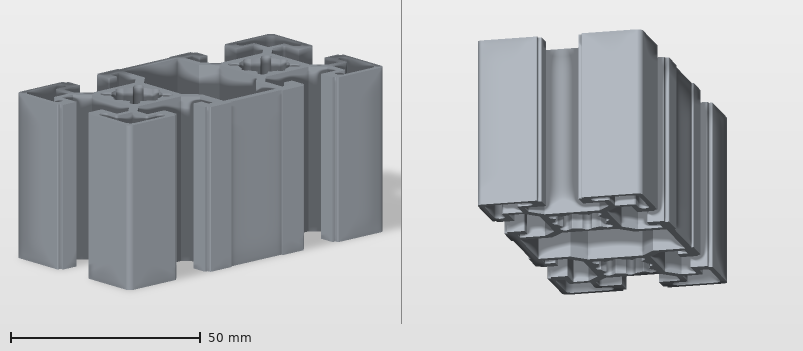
import cadquery as cq
import math

module = 45.0
length = 45.0
outer_radius = 1.4
half_module = module / 2

core_half = 9.2
slot_half = 11.0
slot_mouth_half = 5.0
slot_step_half = 6.0
slot_step_depth = 1.1
lip_depth = 5.8
rib_offset = 1.7
slot_fillet = 0.6
step_fillet = 0.3

hook_back = 8.1
undercut_floor = 19.4
hook_depth = 5.85
hook_fillet = 0.4

corner_wall = 1.4
corner_inner = 12.6
corner_shelf = 18.3
arm_tip = 8.0
corner_fillet = 1.8
shelf_fillet = 0.6

core_hole_radius = 6.8
flute_radius = 1.35
flute_centre = 6.4
diagonal_slot_radius = 1.35
diagonal_slot_centre = 5.85
peak_fillet = 0.3

void_half_width = 20.0
void_half_height = 9.5
recess_half_height = 9.0
recess_depth = 0.5

lip_back = half_module - lip_depth
hook_tip = half_module - hook_depth
step_floor = half_module - slot_step_depth


def prism(points):
    return cq.Workplane("XY").polyline(points).close().extrude(length)


def cylinder(x, y, radius):
    return cq.Workplane("XY").center(x, y).circle(radius).extrude(length)


def round_edge(solid, x, y, radius):
    """Fillet the Z-parallel edge at (x, y)."""
    edge = cq.selectors.NearestToPointSelector((x, y, length / 2))
    return solid.edges("|Z").edges(edge).fillet(radius)


def slot_inside():
    """(across, outward) points of half a slot beside the core."""
    return [(core_half - rib_offset, core_half), (slot_half, slot_half + rib_offset)]


def slot_mouth(lip_level):
    """(across, outward) points of half a slot mouth, with its step."""
    return [
        (slot_mouth_half, lip_level),
        (slot_mouth_half, step_floor),
        (slot_step_half, step_floor),
        (slot_step_half, half_module),
    ]


plain_half = slot_inside() + [(slot_half, lip_back)] + slot_mouth(lip_back)


def end_slot():
    """Slot in the +Y face, plain lips on both sides."""
    left = [(-across, outward) for across, outward in reversed(plain_half)]
    slot = prism(plain_half + left)
    for side in (1, -1):
        slot = round_edge(slot, side * slot_half, lip_back, slot_fillet)
        slot = round_edge(slot, side * slot_step_half, step_floor, step_fillet)
    return slot


def side_slot():
    """Slot in the +X face, plain lip above and hooked lip below."""
    hooked_half = (
        slot_inside()
        + [(slot_half, undercut_floor), (hook_back, undercut_floor), (hook_back, hook_tip)]
        + slot_mouth(hook_tip)
    )
    upper = [(outward, across) for across, outward in plain_half]
    lower = [(outward, -across) for across, outward in reversed(hooked_half)]
    slot = prism(upper + lower)
    for y in (-slot_mouth_half, -hook_back):
        slot = round_edge(slot, hook_tip, y, hook_fillet)
    for y in (-slot_step_half, slot_step_half):
        slot = round_edge(slot, step_floor, y, step_fillet)
    return slot


def corner_hollow():
    """L-shaped hollow of the +X +Y corner."""
    wall = half_module - corner_wall
    tip_radius = (wall - corner_shelf) / 2
    arm_middle = wall - tip_radius
    arc_start = arm_tip + tip_radius
    hollow = (
        cq.Workplane("XY")
        .moveTo(corner_inner, corner_inner)
        .lineTo(corner_shelf, corner_inner)
        .lineTo(corner_shelf, arc_start)
        .threePointArc((arm_middle, arm_tip), (wall, arc_start))
        .lineTo(wall, wall)
        .lineTo(arc_start, wall)
        .threePointArc((arm_tip, arm_middle), (arc_start, corner_shelf))
        .lineTo(corner_inner, corner_shelf)
        .close()
        .extrude(length)
    )
    hollow = round_edge(hollow, wall, wall, corner_fillet)
    hollow = round_edge(hollow, corner_shelf, corner_inner, shelf_fillet)
    return round_edge(hollow, corner_inner, corner_shelf, shelf_fillet)


def core_hole():
    """Round hole with four flutes on the axes and four slots on the diagonals."""
    reach = diagonal_slot_centre * math.sqrt(2)
    hole = cylinder(0, 0, core_hole_radius)
    diagonal_slot = (
        cq.Workplane("XY")
        .slot2D(2 * (reach + diagonal_slot_radius), 2 * diagonal_slot_radius)
        .extrude(length)
    )
    for angle in (45, 135):
        hole = hole.union(diagonal_slot.rotate((0, 0, 0), (0, 0, 1), angle))
    for x, y in ((1, 0), (0, 1), (-1, 0), (0, -1)):
        hole = hole.union(cylinder(x * flute_centre, y * flute_centre, flute_radius))
    peak_turn = math.asin(diagonal_slot_radius / core_hole_radius)
    for quarter in range(4):
        diagonal = math.radians(45 + 90 * quarter)
        for angle in (diagonal - peak_turn, diagonal + peak_turn):
            x = core_hole_radius * math.cos(angle)
            y = core_hole_radius * math.sin(angle)
            hole = round_edge(hole, x, y, peak_fillet)
    return hole


def central_void_half():
    """Part of the central void that lies inside this module."""
    void_edge = -half_module + void_half_height
    right = [
        (void_half_width, -half_module),
        (void_half_width, void_edge),
        (-void_edge - rib_offset, void_edge),
        (core_half - rib_offset, -core_half),
    ]
    left = [(-x, y) for x, y in reversed(right)]
    return prism(right + left)


def side_recess():
    """Half of the shallow recess on the +X face beside the central void."""
    return cq.Workplane("XY").box(
        recess_depth, recess_half_height, length, centered=False
    ).translate((half_module - recess_depth, -half_module, 0))


profile = cq.Workplane("XY").rect(module, module).extrude(length)
profile = profile.edges("|Z and >Y").fillet(outer_radius)
for side_cutter in (side_slot(), corner_hollow(), side_recess()):
    profile = profile.cut(side_cutter).cut(side_cutter.mirror("YZ"))
for middle_cutter in (end_slot(), core_hole(), central_void_half()):
    profile = profile.cut(middle_cutter)
for side in (1, -1):
    profile = round_edge(profile, side * slot_step_half, half_module, step_fillet)
    for y in (-slot_step_half, slot_step_half):
        profile = round_edge(profile, side * half_module, y, step_fillet)

upper_module = profile.translate((0, half_module, 0))
result = upper_module.union(upper_module.mirror("XZ")).clean()